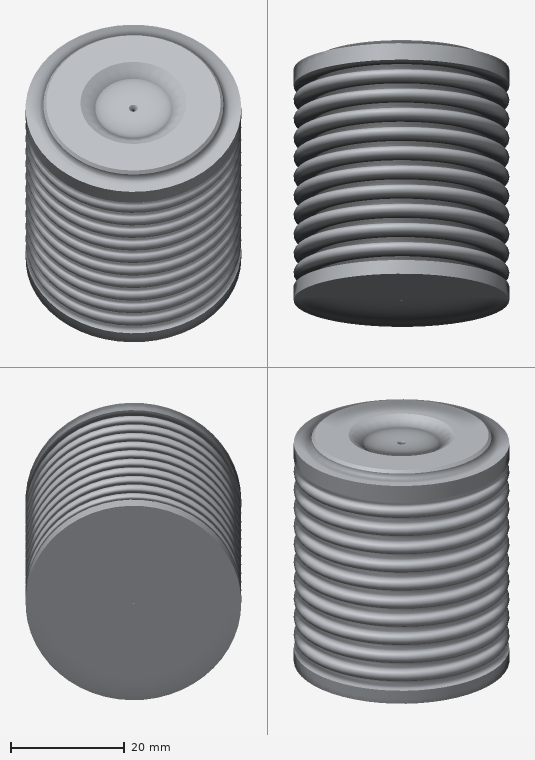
import cadquery as cq
import math

OUTER_RADIUS = 38.1 / 2
NECK_RADIUS = 31.8 / 2

BASE_HEIGHT = 2.5
FIN_COUNT = 10
FIN_THICKNESS = 2.0
GAP_HEIGHT = 1.5
TOP_FLANGE_HEIGHT = 3.0
CAP_HEIGHT = 1.5
CAP_CHAMFER = 0.5
ROOT_FILLET = 1.0

PITCH = FIN_THICKNESS + GAP_HEIGHT
TOP_FLANGE_BOTTOM = BASE_HEIGHT + GAP_HEIGHT + FIN_COUNT * PITCH
TOP_FLANGE_TOP = TOP_FLANGE_BOTTOM + TOP_FLANGE_HEIGHT
TOTAL_HEIGHT = TOP_FLANGE_TOP + CAP_HEIGHT

DISH_FLOOR_RADIUS = 6.75
DISH_DEPTH = 1.5
DISH_HALF_ANGLE = math.radians(60)
DISH_RIM_RADIUS = DISH_FLOOR_RADIUS + DISH_DEPTH * math.tan(DISH_HALF_ANGLE)
DISH_FLOOR_Z = TOTAL_HEIGHT - DISH_DEPTH

PINHOLE_RADIUS = 0.2
COUNTERSINK_RADIUS = 0.8
COUNTERSINK_DEPTH = COUNTERSINK_RADIUS - PINHOLE_RADIUS


def add_root_fillet(profile, floor_z):
    """Concave quarter round from a disc's upper face at floor_z up to the neck wall."""
    diagonal = ROOT_FILLET * (1 - math.sqrt(0.5))
    return profile.lineTo(NECK_RADIUS + ROOT_FILLET, floor_z).threePointArc(
        (NECK_RADIUS + diagonal, floor_z + diagonal),
        (NECK_RADIUS, floor_z + ROOT_FILLET),
    )


def add_fin(profile, bottom_z):
    """Neck wall up to the fin's underside, then a fin with a full-round rim."""
    rim_radius = FIN_THICKNESS / 2
    rim_start = OUTER_RADIUS - rim_radius
    return (
        profile.lineTo(NECK_RADIUS, bottom_z)
        .lineTo(rim_start, bottom_z)
        .threePointArc(
            (OUTER_RADIUS, bottom_z + rim_radius),
            (rim_start, bottom_z + FIN_THICKNESS),
        )
    )


def make_finned_body():
    """Revolve the half section of base, fins, top flange and cap, with the dish in its top."""
    profile = cq.Workplane("XZ").lineTo(OUTER_RADIUS, 0).lineTo(OUTER_RADIUS, BASE_HEIGHT)
    profile = add_root_fillet(profile, BASE_HEIGHT)
    for index in range(FIN_COUNT):
        fin_bottom = BASE_HEIGHT + GAP_HEIGHT + index * PITCH
        profile = add_fin(profile, fin_bottom)
        profile = add_root_fillet(profile, fin_bottom + FIN_THICKNESS)
    profile = (
        profile.lineTo(NECK_RADIUS, TOP_FLANGE_BOTTOM)
        .lineTo(OUTER_RADIUS, TOP_FLANGE_BOTTOM)
        .lineTo(OUTER_RADIUS, TOP_FLANGE_TOP)
    )
    profile = add_root_fillet(profile, TOP_FLANGE_TOP)
    profile = (
        profile.lineTo(NECK_RADIUS - CAP_CHAMFER, TOTAL_HEIGHT)
        .lineTo(DISH_RIM_RADIUS, TOTAL_HEIGHT)
        .lineTo(DISH_FLOOR_RADIUS, DISH_FLOOR_Z)
        .lineTo(0, DISH_FLOOR_Z)
        .close()
    )
    return profile.revolve(360, (0, 0, 0), (0, 1, 0))


def make_pinhole():
    """Cutter for the through pinhole and its 90 degree countersink in the dish floor."""
    return (
        cq.Workplane("XZ")
        .lineTo(PINHOLE_RADIUS, 0)
        .lineTo(PINHOLE_RADIUS, DISH_FLOOR_Z - COUNTERSINK_DEPTH)
        .lineTo(COUNTERSINK_RADIUS, DISH_FLOOR_Z)
        .lineTo(0, DISH_FLOOR_Z)
        .close()
        .revolve(360, (0, 0, 0), (0, 1, 0))
    )


result = make_finned_body().cut(make_pinhole())